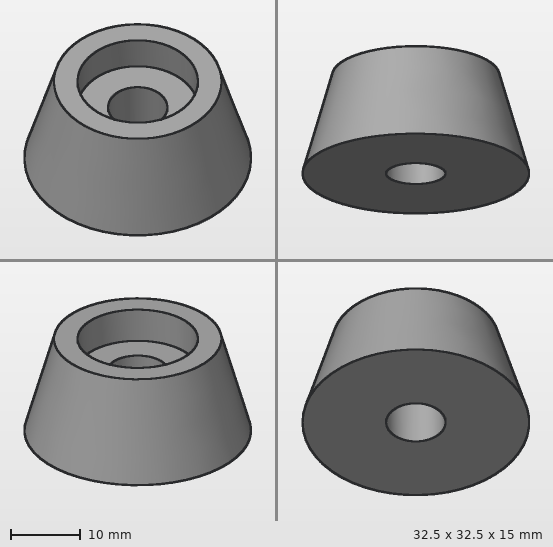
import cadquery as cq

base_diameter = 32.5
top_diameter = 24.0
height = 15.0

hole_diameter = 8.5
recess_diameter = 17.25
recess_depth = 5.1


def make_cone():
    """Solid frustum, wide at the base and narrow at the top."""
    return cq.Workplane("XY").add(
        cq.Solid.makeCone(base_diameter / 2, top_diameter / 2, height)
    )


def cut_stepped_bore(body):
    """Cut the through hole and the recess, both from the top face."""
    return body.faces(">Z").workplane().cboreHole(hole_diameter, recess_diameter, recess_depth)


result = cut_stepped_bore(make_cone())